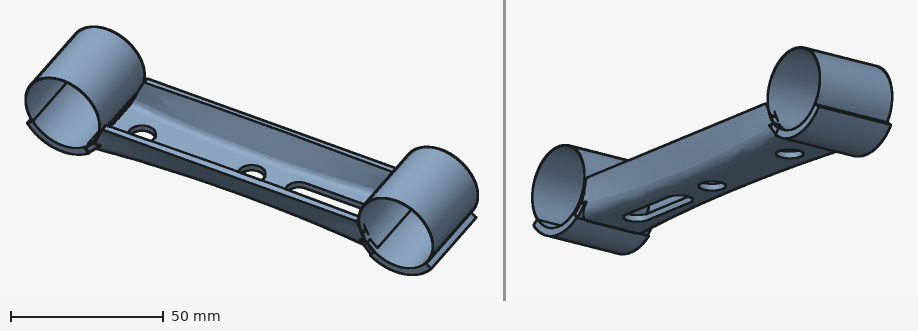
import cadquery as cq
import math

length = 153.0
width = 30.0
height = 30.5
tube_radius = 14.0
tube_wall = 0.23
tube_x = length / 2 - tube_radius
cradle_radius = height - tube_radius
cradle_outer_end = 36.0
cradle_inner_end = 54.0

sheet = 2.3
beam_bottom = -13.5
inner_bend = 2.5
outer_bend = inner_bend + sheet
bend_z = beam_bottom + outer_bend
rim_z = -0.9
rim_rise = 0.6
rim_inner_y = width / 2 - 2.5
floor_half_end = 9.8
floor_half_middle = 6.7

end_top = 14.8
end_bottom = math.sqrt(cradle_radius**2 - beam_bottom**2)
gusset_reach = 13.8

hole_diameter = 9.0
hole_xs = (-41.2, 0.0)
slot_start = 13.2
slot_end = 44.4


def cylinder_y(radius, x):
    """Full-width cylinder along Y, centred on a tube axis."""
    back_face = cq.Workplane("XZ", origin=(x, width / 2, 0))
    return back_face.circle(radius).extrude(width)


def prism_y(points, depth):
    """Polygon in the XZ plane, extruded symmetrically along Y."""
    return cq.Workplane("XZ", origin=(0, depth / 2, 0)).polyline(points).close().extrude(depth)


def polar(radius, degrees):
    angle = math.radians(degrees)
    return radius * math.cos(angle), radius * math.sin(angle)


def channel_section(x, floor_half, inner_rim_z):
    """Closed U section whose walls leave the bends tangent to the inner rim."""
    rim_dy = rim_inner_y - floor_half
    rim_dz = inner_rim_z - bend_z
    tangent = math.degrees(
        math.atan2(rim_dz, rim_dy) - math.acos(inner_bend / math.hypot(rim_dy, rim_dz))
    )

    def bend_point(side, radius, degrees):
        dy, dz = polar(radius, degrees)
        return side * (floor_half + dy), bend_z + dz

    middle = (tangent - 90) / 2
    floor_top = bend_z - inner_bend
    return (
        cq.Workplane("YZ", origin=(x, 0, 0))
        .moveTo(-floor_half, beam_bottom)
        .lineTo(floor_half, beam_bottom)
        .threePointArc(bend_point(1, outer_bend, middle), bend_point(1, outer_bend, tangent))
        .lineTo(width / 2, rim_z)
        .lineTo(rim_inner_y, inner_rim_z)
        .lineTo(*bend_point(1, inner_bend, tangent))
        .threePointArc(bend_point(1, inner_bend, middle), (floor_half, floor_top))
        .lineTo(-floor_half, floor_top)
        .threePointArc(bend_point(-1, inner_bend, middle), bend_point(-1, inner_bend, tangent))
        .lineTo(-rim_inner_y, inner_rim_z)
        .lineTo(-width / 2, rim_z)
        .lineTo(*bend_point(-1, outer_bend, tangent))
        .threePointArc(bend_point(-1, outer_bend, middle), (-floor_half, beam_bottom))
        .close()
        .wire()
        .val()
    )


def make_beam():
    """Waisted channel with sloped ends and openings through its floor."""
    half_top = tube_x - end_top
    half_bottom = tube_x - end_bottom
    sections = [
        channel_section(-half_bottom, floor_half_end, rim_z),
        channel_section(0, floor_half_middle, rim_z + rim_rise),
        channel_section(half_bottom, floor_half_end, rim_z),
    ]
    beam = cq.Workplane(obj=cq.Solid.makeLoft(sections))
    envelope = [
        (-half_bottom, beam_bottom),
        (half_bottom, beam_bottom),
        (half_top, rim_z),
        (half_top, rim_z + rim_rise),
        (-half_top, rim_z + rim_rise),
        (-half_top, rim_z),
    ]
    beam = beam.intersect(prism_y(envelope, width))

    floor = cq.Workplane("XY", origin=(0, 0, beam_bottom))
    holes = floor.pushPoints([(x, 0) for x in hole_xs]).circle(hole_diameter / 2).extrude(outer_bend)
    slot_middle = (slot_start + slot_end) / 2
    slot = floor.center(slot_middle, 0).slot2D(slot_end - slot_start, hole_diameter).extrude(outer_bend)
    return beam.cut(holes).cut(slot)


def make_cradle(side):
    """Arc of sheet under a tube, reaching higher on its outer side."""
    start = -cradle_inner_end
    end = -180 + cradle_outer_end
    middle = (start + end) / 2
    inner_radius = tube_radius - tube_wall

    def point(radius, degrees):
        x, z = polar(radius, degrees)
        return side * (tube_x - x), z

    return (
        cq.Workplane("XZ", origin=(0, width / 2, 0))
        .moveTo(*point(cradle_radius, start))
        .threePointArc(point(cradle_radius, middle), point(cradle_radius, end))
        .lineTo(*point(inner_radius, end))
        .threePointArc(point(inner_radius, middle), point(inner_radius, start))
        .close()
        .extrude(width)
    )


def make_gussets(side):
    """Flat corners joining the cradle to both beam walls."""
    wall_foot_y = floor_half_end + outer_bend
    cradle_end_x, cradle_end_z = polar(tube_radius, -cradle_inner_end)
    corner = [
        (side * (tube_x - end_bottom), beam_bottom),
        (side * (tube_x - gusset_reach), bend_z),
        (side * (tube_x - cradle_end_x), bend_z),
        (side * (tube_x - cradle_end_x), cradle_end_z),
    ]
    return prism_y(corner, 2 * wall_foot_y).cut(prism_y(corner, 2 * rim_inner_y))


result = make_beam()
for side in (-1, 1):
    result = result.union(make_cradle(side)).union(make_gussets(side))
    result = result.union(cylinder_y(tube_radius, side * tube_x))
    result = result.cut(cylinder_y(tube_radius - tube_wall, side * tube_x))